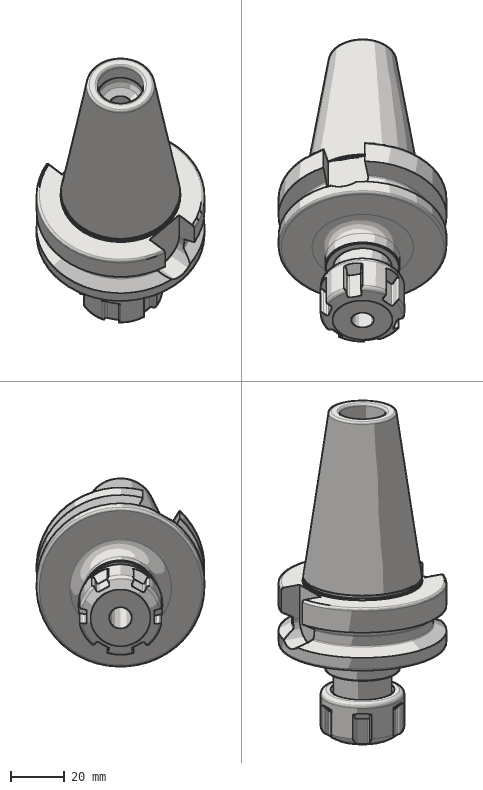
import cadquery as cq
import math


gauge_radius = 44.45 / 2
taper_length = 65.4
radius_per_length = 7 / 24 / 2
shank_tip_fillet = 1.0

relief_radius = 21.7
relief_top_z = -0.2
relief_bottom_z = -1.4

flange_radius = 63 / 2
flange_top_z = -2.0
flange_bottom_z = -27.0
flange_fillet = 1.0
groove_center_z = -16.6
groove_floor_radius = 26.5
groove_floor_half_width = 2.1
groove_flank_angle = 30
groove_floor_fillet = 0.5
groove_flank_height = (flange_radius - groove_floor_radius) * math.tan(math.radians(groove_flank_angle))
groove_mouth_half_width = groove_floor_half_width + groove_flank_height

drive_slot_width = 16.0
drive_slot_floor_x = 22.6
drive_slot_bottom_z = -23.3

collar_radius = 14.0
collar_fillet = 5.0
collar_bottom_z = -37.0
collar_chamfer = 0.4
neck_radius = 11.0

nut_radius = 15.75
nut_top_z = -45.0
nut_bottom_z = -63.0
nut_top_fillet = 2.0
nut_inlet_radius = 12.0
nut_face_radius = 11.2
nut_cone_angle = 30
nut_cone_top_z = nut_bottom_z + (nut_radius - nut_face_radius) * math.tan(math.radians(nut_cone_angle))
nut_cone_fillet = 2.0

wrench_slot_count = 6
wrench_slot_half_width = 2.8
wrench_slot_floor_radius = 12.7
wrench_slot_floor_fillet = 0.7
wrench_slot_mouth_rounding = 0.8
wrench_slot_ceiling_angle = 45
wrench_slot_low_top_z = -49.2
wrench_slot_high_top_z = -48.2

bore_radius = 8.6
bore_mouth_rounding = 1.0
bore_depth = 7.0
undercut_height = 2.4
undercut_depth = 0.4
bore_cone_radius = 7.1
bore_tip_angle = 30
through_radius = 4.2

cutter_overrun = 1.0
search_margin = 0.1


def taper_radius(z):
    return gauge_radius - z * radius_per_length


def revolve_profile(profile):
    return profile.close().revolve(360, (0, 0, 0), (0, 1, 0))


def make_shank():
    profile = (
        cq.Workplane("XZ")
        .moveTo(0, taper_length)
        .lineTo(taper_radius(taper_length), taper_length)
        .lineTo(taper_radius(relief_top_z), relief_top_z)
        .lineTo(relief_radius, relief_top_z)
        .lineTo(relief_radius, relief_bottom_z)
        .lineTo(taper_radius(relief_bottom_z), relief_bottom_z)
        .lineTo(taper_radius(flange_top_z), flange_top_z)
        .lineTo(0, flange_top_z)
    )
    return revolve_profile(profile).faces(">Z").edges().fillet(shank_tip_fillet)


def make_flange():
    blank = (
        cq.Workplane("XY", origin=(0, 0, flange_bottom_z))
        .circle(flange_radius)
        .extrude(flange_top_z - flange_bottom_z)
        .faces("<Z or >Z")
        .edges()
        .fillet(flange_fillet)
    )
    groove = revolve_profile(
        cq.Workplane("XZ")
        .moveTo(groove_floor_radius, groove_center_z + groove_floor_half_width)
        .lineTo(flange_radius, groove_center_z + groove_mouth_half_width)
        .lineTo(flange_radius + cutter_overrun, groove_center_z + groove_mouth_half_width)
        .lineTo(flange_radius + cutter_overrun, groove_center_z - groove_mouth_half_width)
        .lineTo(flange_radius, groove_center_z - groove_mouth_half_width)
        .lineTo(groove_floor_radius, groove_center_z - groove_floor_half_width)
    )
    floor_zone = cq.selectors.BoxSelector(
        (-flange_radius, -flange_radius, groove_center_z - groove_floor_half_width - search_margin),
        (flange_radius, flange_radius, groove_center_z + groove_floor_half_width + search_margin),
        boundingbox=True,
    )
    return blank.cut(groove.edges(floor_zone).edges("%CIRCLE").fillet(groove_floor_fillet))


def make_drive_slot(side):
    """Round-bottomed slot cutter, open upward and outward, on the +X (1) or -X (-1) side."""
    half_width = drive_slot_width / 2
    arc_center_z = drive_slot_bottom_z + half_width
    return (
        cq.Workplane("YZ", origin=(side * drive_slot_floor_x, 0, 0))
        .moveTo(-half_width, flange_top_z)
        .lineTo(-half_width, arc_center_z)
        .threePointArc((0, drive_slot_bottom_z), (half_width, arc_center_z))
        .lineTo(half_width, flange_top_z)
        .close()
        .extrude(side * flange_radius)
    )


def make_collar_and_neck():
    profile = (
        cq.Workplane("XZ")
        .moveTo(0, flange_bottom_z)
        .lineTo(collar_radius + collar_fillet, flange_bottom_z)
        .radiusArc((collar_radius, flange_bottom_z - collar_fillet), -collar_fillet)
        .lineTo(collar_radius, collar_bottom_z + collar_chamfer)
        .lineTo(collar_radius - collar_chamfer, collar_bottom_z)
        .lineTo(neck_radius, collar_bottom_z)
        .lineTo(neck_radius, nut_bottom_z)
        .lineTo(0, nut_bottom_z)
    )
    return revolve_profile(profile)


def make_nut_blank():
    """Nut without wrench slots; a 45 degree chamfer rings the neck at its top face."""
    inlet_depth = nut_inlet_radius - neck_radius
    profile = (
        cq.Workplane("XZ")
        .moveTo(0, nut_top_z - inlet_depth)
        .lineTo(neck_radius, nut_top_z - inlet_depth)
        .lineTo(nut_inlet_radius, nut_top_z)
        .lineTo(nut_radius, nut_top_z)
        .lineTo(nut_radius, nut_cone_top_z)
        .lineTo(nut_face_radius, nut_bottom_z)
        .lineTo(0, nut_bottom_z)
    )
    blank = revolve_profile(profile)
    top_edge = cq.selectors.RadiusNthSelector(-1)
    blank = blank.faces(">Z").edges(top_edge).fillet(nut_top_fillet)
    cone_edge = cq.selectors.BoxSelector(
        (-flange_radius, -flange_radius, nut_cone_top_z - search_margin),
        (flange_radius, flange_radius, nut_cone_top_z + search_margin),
        boundingbox=True,
    )
    return blank.edges(cone_edge).fillet(nut_cone_fillet)


def make_wrench_slot(top_z):
    """Cutter on the +X side: a slot with rounded mouth edges, filleted floor and sloping ceiling."""
    half_width = wrench_slot_half_width
    mouth_half_width = half_width + wrench_slot_mouth_rounding
    mouth_radius = math.sqrt(nut_radius**2 - mouth_half_width**2)
    wall_end_radius = mouth_radius - wrench_slot_mouth_rounding
    outer_radius = nut_radius + cutter_overrun
    slot_height = nut_top_z - nut_bottom_z

    channel = (
        cq.Workplane("XY", origin=(0, 0, nut_bottom_z))
        .moveTo(wrench_slot_floor_radius, -half_width)
        .lineTo(wall_end_radius, -half_width)
        .radiusArc((mouth_radius, -mouth_half_width), wrench_slot_mouth_rounding)
        .lineTo(outer_radius, -mouth_half_width)
        .lineTo(outer_radius, mouth_half_width)
        .lineTo(mouth_radius, mouth_half_width)
        .radiusArc((wall_end_radius, half_width), wrench_slot_mouth_rounding)
        .lineTo(wrench_slot_floor_radius, half_width)
        .close()
        .extrude(slot_height)
        .edges("|Z and <X")
        .fillet(wrench_slot_floor_fillet)
    )

    ceiling_slope = math.tan(math.radians(wrench_slot_ceiling_angle))
    below_ceiling = (
        cq.Workplane("XZ")
        .moveTo(wrench_slot_floor_radius, nut_bottom_z)
        .lineTo(wrench_slot_floor_radius, top_z - (nut_radius - wrench_slot_floor_radius) * ceiling_slope)
        .lineTo(outer_radius, top_z + (outer_radius - nut_radius) * ceiling_slope)
        .lineTo(outer_radius, nut_bottom_z)
        .close()
        .extrude(mouth_half_width, both=True)
    )

    shoulder_z = top_z - wrench_slot_mouth_rounding
    below_shoulders = (
        cq.Workplane("YZ")
        .moveTo(-mouth_half_width, nut_bottom_z)
        .lineTo(-mouth_half_width, shoulder_z)
        .lineTo(-half_width, top_z)
        .lineTo(-half_width, nut_top_z)
        .lineTo(half_width, nut_top_z)
        .lineTo(half_width, top_z)
        .lineTo(mouth_half_width, shoulder_z)
        .lineTo(mouth_half_width, nut_bottom_z)
        .close()
        .extrude(outer_radius)
    )
    return channel.intersect(below_ceiling).intersect(below_shoulders)


def make_nut():
    """Nut whose wrench slots on the -X half start lower than those on the +X half."""
    nut = make_nut_blank()
    for index in range(wrench_slot_count):
        angle = index * 360 / wrench_slot_count
        on_low_side = 90 < angle < 270
        top_z = wrench_slot_low_top_z if on_low_side else wrench_slot_high_top_z
        nut = nut.cut(make_wrench_slot(top_z).rotate((0, 0, 0), (0, 0, 1), angle))
    return nut


def make_bore():
    """Through bore; the counterbore ends in an undercut, a 45 degree step and a drill-point cone."""
    bore_bottom_z = taper_length - bore_depth
    step_top_z = bore_bottom_z - undercut_height
    undercut_middle_z = (bore_bottom_z + step_top_z) / 2
    step_bottom_z = step_top_z - (bore_radius - bore_cone_radius)
    tip_height = (bore_cone_radius - through_radius) * math.tan(math.radians(bore_tip_angle))
    mouth_radius = bore_radius + bore_mouth_rounding
    profile = (
        cq.Workplane("XZ")
        .moveTo(0, taper_length)
        .lineTo(mouth_radius, taper_length)
        .radiusArc((bore_radius, taper_length - bore_mouth_rounding), -bore_mouth_rounding)
        .lineTo(bore_radius, bore_bottom_z)
        .threePointArc((bore_radius + undercut_depth, undercut_middle_z), (bore_radius, step_top_z))
        .lineTo(bore_cone_radius, step_bottom_z)
        .lineTo(through_radius, step_bottom_z - tip_height)
        .lineTo(through_radius, nut_bottom_z)
        .lineTo(0, nut_bottom_z)
    )
    return revolve_profile(profile)


holder = make_shank().union(make_flange()).union(make_collar_and_neck())
for side in (-1, 1):
    holder = holder.cut(make_drive_slot(side))

result = holder.union(make_nut()).cut(make_bore())